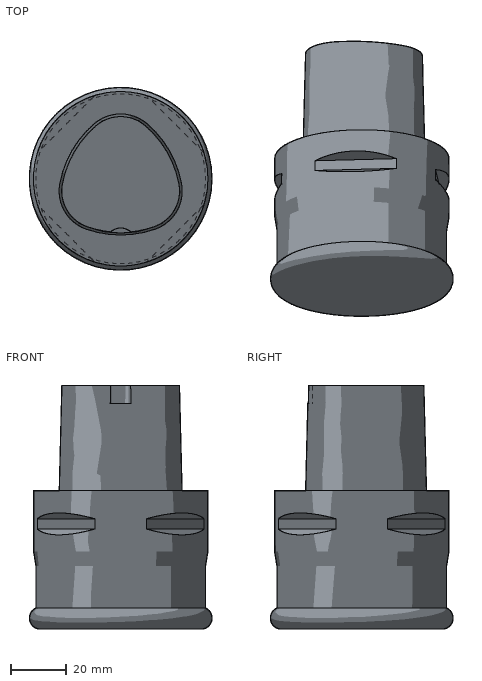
import cadquery as cq
import math

cutter_radius = 33.0
rim_radius = 4.0
rim_centre_radius = cutter_radius - rim_radius

neck_radius = 61.32 / 2
flange_radius = 63.0 / 2
cone_bottom_z = 22.8
cone_top_z = 28.0
flange_top_z = 50.0
cutter_top_z = rim_radius + math.sqrt(rim_radius**2 - (neck_radius - rim_centre_radius) ** 2)

groove_z = 38.0
groove_floor_distance = 27.85
groove_floor_width = 3.7
groove_wall_angle = 30.0
groove_cut_length = 2 * flange_radius
groove_cut_outer_distance = flange_radius + 1.0
first_groove_angle = 45
groove_angle_step = 90

shank_height = 38.0
shank_taper = math.degrees(math.atan(1 / 40))
lobe_reach = 23.4
flat_reach = 20.3
lobe_centre_distance = 8.8
lobe_angles = (90, 210, 330)
lobe_to_flat_angle = 60

shank_top_z = flange_top_z + shank_height
notch_depth = 6.5
notch_radius = 5.3
notch_inner_y = -17.75


def polar(distance, degrees):
    angle = math.radians(degrees)
    return (distance * math.cos(angle), distance * math.sin(angle))


def make_cutter():
    """Disc whose rim is an arc, tangent to the flat underside."""
    return (
        cq.Workplane("XZ")
        .lineTo(rim_centre_radius, 0)
        .threePointArc((cutter_radius, rim_radius), (neck_radius, cutter_top_z))
        .lineTo(0, cutter_top_z)
        .close()
        .revolve(360, (0, 0, 0), (0, 1, 0))
    )


def make_flange():
    """Neck, cone and gripper flange, as one turned shape."""
    return (
        cq.Workplane("XZ")
        .moveTo(0, cutter_top_z)
        .lineTo(neck_radius, cutter_top_z)
        .lineTo(neck_radius, cone_bottom_z)
        .lineTo(flange_radius, cone_top_z)
        .lineTo(flange_radius, flange_top_z)
        .lineTo(0, flange_top_z)
        .close()
        .revolve(360, (0, 0, 0), (0, 1, 0))
    )


def make_groove(angle):
    """Cutting tool for one gripper groove, turned to the given angle about Z."""
    depth = groove_cut_outer_distance - groove_floor_distance
    floor_half = groove_floor_width / 2
    mouth_half = floor_half + depth * math.tan(math.radians(groove_wall_angle))
    return (
        cq.Workplane("XZ")
        .moveTo(groove_floor_distance, groove_z - floor_half)
        .lineTo(groove_cut_outer_distance, groove_z - mouth_half)
        .lineTo(groove_cut_outer_distance, groove_z + mouth_half)
        .lineTo(groove_floor_distance, groove_z + floor_half)
        .close()
        .extrude(groove_cut_length / 2, both=True)
        .rotate((0, 0, 0), (0, 0, 1), angle)
    )


def make_shank():
    """Tapered three-lobed shank, standing on the flange."""
    reach_difference = lobe_reach - flat_reach
    flat_centre_distance = (
        reach_difference
        * (2 * lobe_centre_distance - reach_difference)
        / (lobe_centre_distance - 2 * reach_difference)
    )
    flat_radius = flat_centre_distance + flat_reach
    lobe_centre_x, lobe_centre_y = polar(lobe_centre_distance, lobe_to_flat_angle)
    flat_half_angle = math.degrees(
        math.atan2(lobe_centre_y, flat_centre_distance + lobe_centre_x)
    )

    def flat_end(flat_angle, turn):
        centre = polar(-flat_centre_distance, flat_angle)
        offset = polar(flat_radius, flat_angle + turn)
        return (centre[0] + offset[0], centre[1] + offset[1])

    outline = cq.Workplane("XY", origin=(0, 0, flange_top_z))
    outline = outline.moveTo(*flat_end(lobe_angles[0] - lobe_to_flat_angle, flat_half_angle))
    for lobe_angle in lobe_angles:
        next_flat = lobe_angle + lobe_to_flat_angle
        outline = outline.threePointArc(
            polar(lobe_reach, lobe_angle), flat_end(next_flat, -flat_half_angle)
        )
        outline = outline.threePointArc(
            polar(flat_reach, next_flat), flat_end(next_flat, flat_half_angle)
        )
    return outline.close().extrude(shank_height, taper=shank_taper)


def make_notch():
    """Upright cylinder that cuts the key notch."""
    return (
        cq.Workplane("XY", origin=(0, notch_inner_y - notch_radius, shank_top_z - notch_depth))
        .circle(notch_radius)
        .extrude(notch_depth)
    )


def make_holder():
    """Flange and shank in one piece, with the grooves and the notch cut in."""
    body = make_flange().union(make_shank()).cut(make_notch())
    for angle in range(first_groove_angle, 360, groove_angle_step):
        body = body.cut(make_groove(angle))
    return body


cutter = make_cutter()
holder = make_holder()

result = cq.Compound.makeCompound([cutter.val(), holder.val()])